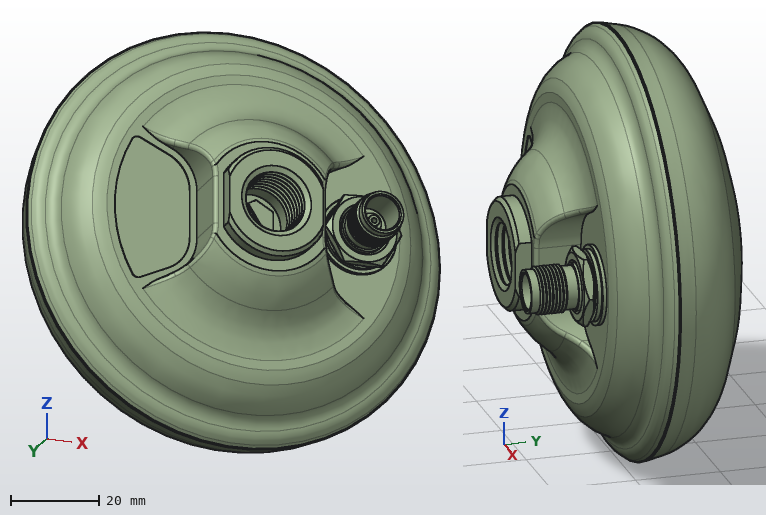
import cadquery as cq
import math

DOME_TOP = 38.5
DOME_EDGE = (40.7, 28.4)
SHOULDER = (49.4, 16.7)
RIM_RADIUS = 50.2
SEAM_TOP = 13.0
SEAM_BOTTOM = 12.6
SEAM_DEPTH = 0.2
RIM_BEAD_END = (49.5, 11.6)
NECK_START = (46.8, 9.7)
NECK_END = (43.9, 7.2)
SKIRT_END = (38.7, 1.2)
UNDERSIDE_RADIUS = 35.6

HUB_BASE_RADIUS = 33.3
HUB_INFLECTION = (23.0, -5.1)
HUB_FACE_RADIUS = 15.6
HUB_EDGE_RADIUS = 16.6
HUB_EDGE_DROP = 0.4
HUB_HEIGHT = 11.0
HUB_ROOT_DEPTH = 1.0

POCKET_WALL_X = 13.7
POCKET_STRAIGHT_HALF = 5.7
POCKET_CORNER_RADIUS = 10.6
POCKET_FLARE_ANGLE = 25.0
POCKET_REACH = 36.2
POCKET_EDGE_RADIUS = 1.0
EDGE_SEARCH_MARGIN = 1.0

LABEL_GAP = 1.7
LABEL_OUTER_RADIUS = 33.6
LABEL_CORNER_RADIUS = 1.5
LABEL_DEPTH = 0.2

BOSS_RADIUS = 13.1
BOSS_CHAMFER = 0.9
BOSS_FLAT_X = 11.4
BOSS_HEIGHT = 3.9
BOSS_END = -(HUB_HEIGHT + BOSS_HEIGHT)
BORE_MINOR_RADIUS = 7.1
BORE_MAJOR_RADIUS = 8.4
BORE_DEPTH = 16.1
BORE_PITCH = 1.6
BORE_GROOVE_HALF_WIDTH = 0.7
BORE_THREADS = 8

HEAD_ACROSS_FLATS = 8.3
HEAD_HEIGHT = 3.0
HEAD_SLOT_WIDTH = 0.8
HEAD_SLOT_DEPTH = 0.6
HEAD_SLOT_ANGLE = -58.0

CONNECTOR_X = 25.2
CONNECTOR_LENGTH = 16.5
BARREL_RADIUS = 5.0
THREAD_RADIUS = 5.5
WASHER_RADIUS = 9.2
WASHER_THICKNESS = 0.9
LOCK_WASHER_RADIUS = 8.3
LOCK_WASHER_END = 1.9
NUT_SEAT_RADIUS = 7.0
NUT_START = 2.4
NUT_END = 4.9
NUT_ACROSS_FLATS = 16.1
NUT_CHAMFER_RADIUS = 7.8
NUT_CHAMFER_ANGLE = 30.0
NUT_MOUTH_RADIUS = 6.1
LOCKING_THREAD_END = 5.4
THREAD_START = 8.0
THREAD_PITCH = 0.8
THREAD_COUNT = 8
SOCKET_RADIUS = 4.1
SOCKET_MOUTH_RADIUS = 4.4
SOCKET_DEPTH = 9.0
INSULATOR_RADIUS = 2.3
INSULATOR_HEIGHT = 2.0
CONTACT_RADIUS = 1.3
CONTACT_HEIGHT = 3.5
CONTACT_HOLE_RADIUS = 0.6


def revolve_about_y(profile):
    return profile.close().revolve(360, (0, 0, 0), (0, 1, 0))


def cylinder(radius, y_start, y_end):
    """Cylinder about the Y axis between two Y positions."""
    return cq.Workplane("XZ", origin=(0, y_start, 0)).circle(radius).extrude(y_start - y_end)


def hexagon(across_flats, y_start, length):
    """Hexagonal prism with corners on X, growing toward -Y."""
    across_corners = across_flats / math.cos(math.radians(30))
    return cq.Workplane("XZ", origin=(0, y_start, 0)).polygon(6, across_corners).extrude(length)


def make_housing():
    dome_edge_radius, dome_edge_y = DOME_EDGE
    dome_slope = 2 * math.atan2(DOME_TOP - dome_edge_y, dome_edge_radius)
    dome_sphere_radius = dome_edge_radius / math.sin(dome_slope)
    dome_mid = (
        dome_sphere_radius * math.sin(dome_slope / 2),
        DOME_TOP - dome_sphere_radius * (1 - math.cos(dome_slope / 2)),
    )
    profile = (
        cq.Workplane("XY")
        .moveTo(0, DOME_TOP)
        .threePointArc(dome_mid, DOME_EDGE)
        .tangentArcPoint(SHOULDER, relative=False)
        .tangentArcPoint((RIM_RADIUS, SEAM_TOP), relative=False)
        .lineTo(RIM_RADIUS - SEAM_DEPTH, SEAM_TOP)
        .lineTo(RIM_RADIUS - SEAM_DEPTH, SEAM_BOTTOM)
        .lineTo(RIM_RADIUS, SEAM_BOTTOM)
        .lineTo(*RIM_BEAD_END)
        .tangentArcPoint(NECK_START, relative=False)
        .tangentArcPoint(NECK_END, relative=False)
        .tangentArcPoint(SKIRT_END, relative=False)
        .tangentArcPoint((UNDERSIDE_RADIUS, 0), relative=False)
        .lineTo(0, 0)
    )
    return revolve_about_y(profile)


def pocket_outline(wall_x, corner_radius):
    """Flared pocket outline on the +X side: straight inner wall at wall_x, rounded into the flares."""
    turn = math.radians(90 - POCKET_FLARE_ANGLE)
    flare = math.radians(POCKET_FLARE_ANGLE)

    def corner_point(angle):
        return (
            wall_x + corner_radius * (1 - math.cos(angle)),
            POCKET_STRAIGHT_HALF + corner_radius * math.sin(angle),
        )

    mid_x, mid_z = corner_point(turn / 2)
    end_x, end_z = corner_point(turn)
    outer_z = end_z + (POCKET_REACH - end_x) * math.tan(flare)
    return (
        cq.Workplane("XZ")
        .moveTo(wall_x, -POCKET_STRAIGHT_HALF)
        .lineTo(wall_x, POCKET_STRAIGHT_HALF)
        .threePointArc((mid_x, mid_z), (end_x, end_z))
        .lineTo(POCKET_REACH, outer_z)
        .lineTo(POCKET_REACH, -outer_z)
        .lineTo(end_x, -end_z)
        .threePointArc((mid_x, -mid_z), (wall_x, -POCKET_STRAIGHT_HALF))
        .close()
    )


def pocket_rim_box(side):
    """Box round the pocket rim between the hub face and the inflection of the hub flank."""
    inflection_radius, inflection_y = HUB_INFLECTION
    return cq.selectors.BoxSelector(
        (side * (POCKET_WALL_X - EDGE_SEARCH_MARGIN), -HUB_HEIGHT - EDGE_SEARCH_MARGIN, -HUB_FACE_RADIUS),
        (side * inflection_radius, inflection_y - EDGE_SEARCH_MARGIN, HUB_FACE_RADIUS),
    )


def make_hub():
    profile = (
        cq.Workplane("XY")
        .moveTo(HUB_BASE_RADIUS + HUB_ROOT_DEPTH, 0)
        .lineTo(HUB_BASE_RADIUS, 0)
        .tangentArcPoint(HUB_INFLECTION, relative=False)
        .tangentArcPoint((HUB_EDGE_RADIUS, HUB_EDGE_DROP - HUB_HEIGHT), relative=False)
        .lineTo(HUB_FACE_RADIUS, -HUB_HEIGHT)
        .lineTo(0, -HUB_HEIGHT)
        .lineTo(0, HUB_ROOT_DEPTH)
        .lineTo(HUB_BASE_RADIUS + HUB_ROOT_DEPTH, HUB_ROOT_DEPTH)
    )
    hub = revolve_about_y(profile)
    pocket = pocket_outline(POCKET_WALL_X, POCKET_CORNER_RADIUS).extrude(2 * HUB_HEIGHT)
    hub = hub.cut(pocket).cut(pocket.mirror("YZ"))
    upper_rims = pocket_rim_box(1) + pocket_rim_box(-1)
    return hub.edges(upper_rims).fillet(POCKET_EDGE_RADIUS)


def make_label_recess():
    """Pocket outline moved inward by the label gap, closed by a circle about the hub axis."""
    outline = pocket_outline(POCKET_WALL_X + LABEL_GAP, POCKET_CORNER_RADIUS - LABEL_GAP)
    recess = outline.extrude(-LABEL_DEPTH).intersect(cylinder(LABEL_OUTER_RADIUS, LABEL_DEPTH, 0))
    outer_corners = cq.selectors.BoxSelector(
        (LABEL_OUTER_RADIUS * 2 / 3, 0, -LABEL_OUTER_RADIUS),
        (LABEL_OUTER_RADIUS, LABEL_DEPTH, LABEL_OUTER_RADIUS),
    )
    recess = recess.edges("|Y").edges(outer_corners).fillet(LABEL_CORNER_RADIUS)
    return recess.mirror("YZ")


def make_boss():
    boss = cylinder(BOSS_RADIUS, -HUB_HEIGHT, BOSS_END).faces("<Y").chamfer(BOSS_CHAMFER)
    flats = cq.Workplane("XY").box(2 * BOSS_FLAT_X, 4 * BOSS_HEIGHT, 4 * BOSS_RADIUS)
    return boss.intersect(flats.translate((0, -HUB_HEIGHT, 0)))


def make_bore():
    """Bore with ring grooves standing for its internal thread; the first one opens the mouth."""
    bore = cylinder(BORE_MINOR_RADIUS, BOSS_END + BORE_DEPTH, BOSS_END)
    for turn in range(BORE_THREADS):
        middle = BOSS_END + turn * BORE_PITCH
        groove = (
            cq.Workplane("XY")
            .moveTo(0, middle - BORE_GROOVE_HALF_WIDTH)
            .lineTo(BORE_MINOR_RADIUS, middle - BORE_GROOVE_HALF_WIDTH)
            .lineTo(BORE_MAJOR_RADIUS, middle)
            .lineTo(BORE_MINOR_RADIUS, middle + BORE_GROOVE_HALF_WIDTH)
            .lineTo(0, middle + BORE_GROOVE_HALF_WIDTH)
        )
        bore = bore.union(revolve_about_y(groove))
    return bore


def make_slotted_head():
    bottom = BOSS_END + BORE_DEPTH
    head = hexagon(HEAD_ACROSS_FLATS, bottom, HEAD_HEIGHT).rotate((0, 0, 0), (0, 1, 0), 90)
    slot = (
        cq.Workplane("XZ", origin=(0, bottom - HEAD_HEIGHT + HEAD_SLOT_DEPTH, 0))
        .transformed(rotate=(0, 0, HEAD_SLOT_ANGLE))
        .rect(2 * HEAD_ACROSS_FLATS, HEAD_SLOT_WIDTH)
        .extrude(HEAD_SLOT_DEPTH)
    )
    return head.cut(slot)


def make_nut():
    """Hexagon nut with both faces chamfered and a countersunk mouth."""
    nut = hexagon(NUT_ACROSS_FLATS, -NUT_START, NUT_END - NUT_START)
    corner_radius = NUT_ACROSS_FLATS / 2 / math.cos(math.radians(30))
    chamfer_radial = corner_radius - NUT_CHAMFER_RADIUS
    chamfer_drop = chamfer_radial * math.tan(math.radians(NUT_CHAMFER_ANGLE))
    envelope = (
        cylinder(corner_radius, -NUT_START, -NUT_END)
        .faces("<Y or >Y")
        .edges()
        .chamfer(chamfer_drop, chamfer_radial)
    )
    mouth_depth = NUT_MOUTH_RADIUS - THREAD_RADIUS
    mouth = (
        cq.Workplane("XY")
        .moveTo(0, -NUT_END)
        .lineTo(NUT_MOUTH_RADIUS, -NUT_END)
        .lineTo(THREAD_RADIUS, mouth_depth - NUT_END)
        .lineTo(0, mouth_depth - NUT_END)
    )
    return nut.intersect(envelope).cut(revolve_about_y(mouth))


def make_barrel():
    """Connector barrel with ring ridges standing for its coupling thread."""
    barrel = cylinder(BARREL_RADIUS, 0, -CONNECTOR_LENGTH)
    barrel = barrel.union(cylinder(THREAD_RADIUS, 0, -LOCKING_THREAD_END))
    for turn in range(THREAD_COUNT):
        start = THREAD_START + turn * THREAD_PITCH
        ridge = (
            cq.Workplane("XY")
            .moveTo(0, -start)
            .lineTo(BARREL_RADIUS, -start)
            .lineTo(THREAD_RADIUS, -start - THREAD_PITCH / 2)
            .lineTo(BARREL_RADIUS, -start - THREAD_PITCH)
            .lineTo(0, -start - THREAD_PITCH)
        )
        barrel = barrel.union(revolve_about_y(ridge))
    return barrel


def make_connector():
    """Bulkhead coaxial connector about the Y axis, standing on Y = 0."""
    mouth_chamfer = SOCKET_MOUTH_RADIUS - SOCKET_RADIUS
    socket_floor = SOCKET_DEPTH - CONNECTOR_LENGTH
    contact_end = socket_floor - CONTACT_HEIGHT
    socket = cylinder(SOCKET_RADIUS, socket_floor, -CONNECTOR_LENGTH)
    return (
        make_barrel()
        .union(make_nut())
        .union(cylinder(WASHER_RADIUS, 0, -WASHER_THICKNESS))
        .union(cylinder(LOCK_WASHER_RADIUS, -WASHER_THICKNESS, -LOCK_WASHER_END))
        .union(cylinder(NUT_SEAT_RADIUS, -LOCK_WASHER_END, -NUT_START))
        .cut(socket)
        .faces("<Y")
        .edges("%CIRCLE")
        .edges(cq.selectors.RadiusNthSelector(0))
        .chamfer(mouth_chamfer)
        .union(cylinder(INSULATOR_RADIUS, socket_floor, socket_floor - INSULATOR_HEIGHT))
        .union(cylinder(CONTACT_RADIUS, socket_floor, contact_end))
        .cut(cylinder(CONTACT_HOLE_RADIUS, socket_floor, contact_end))
    )


result = (
    make_housing()
    .union(make_hub())
    .union(make_boss())
    .cut(make_bore())
    .union(make_slotted_head())
    .cut(make_label_recess())
    .union(make_connector().translate((CONNECTOR_X, 0, 0)))
)